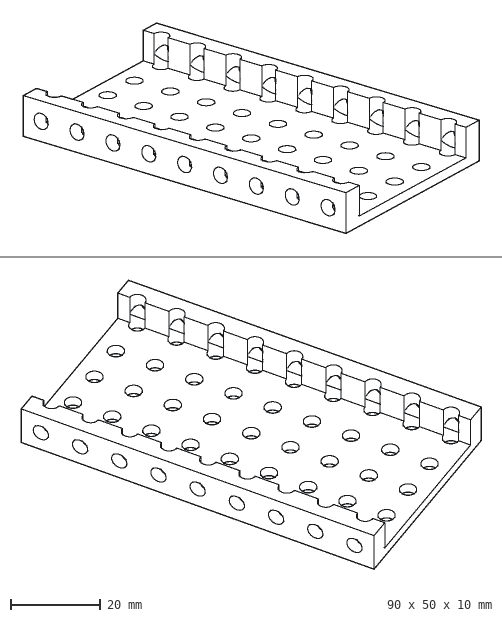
import cadquery as cq

length = 90.0
cells_long = 9
cells_wide = 5
pitch = length / cells_long
width = cells_wide * pitch
height = pitch

floor_thickness = 2.5
wall_thickness = pitch / 2
hole_diameter = 3.9


def channel():
    """U-shaped channel along X, centred in X and Y, resting on Z = 0."""
    block = cq.Workplane("XY").box(length, width, height, centered=(True, True, False))
    trough = (
        cq.Workplane("XY")
        .workplane(offset=floor_thickness)
        .rect(length, width - 2 * wall_thickness)
        .extrude(height - floor_thickness)
    )
    return block.cut(trough)


def vertical_holes():
    """Grid of holes through the floor; the outer rows also notch the walls."""
    return (
        cq.Workplane("XY")
        .rarray(pitch, pitch, cells_long, cells_wide)
        .circle(hole_diameter / 2)
        .extrude(height)
    )


def side_holes():
    """Row of holes along Y at mid-height, through both walls."""
    return (
        cq.Workplane("XZ", origin=(0, 0, height / 2))
        .rarray(pitch, pitch, cells_long, 1)
        .circle(hole_diameter / 2)
        .extrude(width / 2, both=True)
    )


result = channel().cut(vertical_holes()).cut(side_holes())